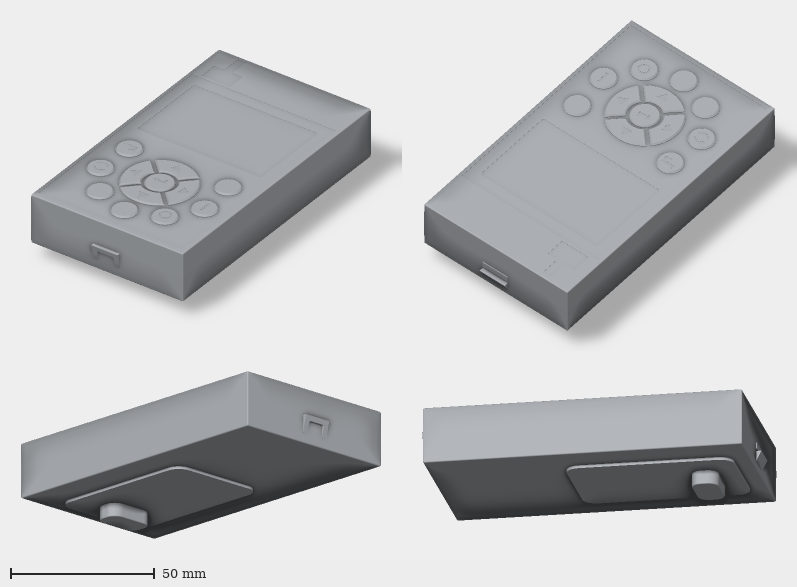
import cadquery as cq
import math

BODY_WIDTH = 65.0
BODY_LENGTH = 113.0
BODY_HEIGHT = 20.0
SEAM_HEIGHT = BODY_HEIGHT / 2
EDGE_RADIUS = 0.5
SIDE_CORNER_RADIUS = 0.3
SHELL_DRAFT = 0.5
FRONT_FACE = -BODY_LENGTH / 2
BACK_FACE = BODY_LENGTH / 2

STEP_DEPTH = 0.1
CORNER_RADIUS = 0.7
PANEL_WIDTH = 61.9
PANEL_FRONT = -54.3
PANEL_BACK = 37.9
PANEL_FLOOR = BODY_HEIGHT - STEP_DEPTH
SCREEN_WIDTH = 52.9
SCREEN_FRONT = -1.2
SCREEN_BACK = 33.0
PORT_X = -21.5
PORT_WIDTH = 12.1
PORT_FRONT = 39.0
PORT_SHOULDER = 46.6
PORT_BACK = 54.7
PORT_STEM_WIDTH = 3.5

KEY_RISE = 0.7
KEY_TOP = BODY_HEIGHT + KEY_RISE
KEY_CHAMFER = 0.6
KEY_RADIUS = 5.0
PAD_Y = -24.7
ENTER_RADIUS = 5.6
PAD_INNER_RADIUS = 6.4
PAD_OUTER_RADIUS = 14.3
PAD_GAP = 1.2
BACK_KEY = (-21.0, -13.3)
HELP_KEY = (21.0, -13.3)
REVERSE_KEY = (-22.2, -29.0)
START_KEY = (22.2, -29.0)
LOCAL_KEY = (-13.8, -41.1)
STOP_KEY = (13.8, -41.1)
JOG_KEY = (0, -45.8)
ROUND_KEYS = [BACK_KEY, HELP_KEY, REVERSE_KEY, START_KEY, LOCAL_KEY, STOP_KEY, JOG_KEY]

ENGRAVING_DEPTH = 0.1
TRIANGLE_BASE = 9.1
TRIANGLE_TIP = 12.7
TRIANGLE_HALF_WIDTH = 2.1
SYMBOL_SHIFT = 0.2
START_BAR = (1.0, 5.0)
STOP_RING = (1.6, 2.3)
REVERSE_RING = (1.7, 2.7)
REVERSE_SLOT = 1.9

CLIP_WIDTH = 11.3
FRONT_CLIP_REACH = 1.5
FRONT_CLIP_HEIGHT = 6.3
FRONT_NOTCH_WIDTH = 7.1
FRONT_CLIP_BRIDGE = 1.9
FRONT_NOTCH_RADIUS = 0.6
BACK_CLIP_REACH = 1.9
BACK_CLIP_TOP = 6.2
BACK_CLIP_BOTTOM = 2.6
BACK_RIB_REACH = 0.3
BACK_RIB_TOP = 9.3
BACK_RIB_BOTTOM = 7.0

PLATE_WIDTH = 39.1
PLATE_FRONT = -8.8
PLATE_BACK = 50.4
PLATE_THICKNESS = 1.0
PLATE_RADIUS = 5.0
PLUG_X = 0.1
PLUG_WIDTH = 18.1
PLUG_FRONT = 33.7
PLUG_BACK = 43.3
PLUG_LENGTH = 4.9
PLUG_RADIUS = 3.8
PLUG_EDGE_RADIUS = 0.3

OVERLAP = 0.2


def block(width, front, back, bottom, top, x=0):
    """Box centred on x, given by its front, back, bottom and top planes."""
    return (
        cq.Workplane("XY", origin=(x, (front + back) / 2, bottom))
        .rect(width, back - front)
        .extrude(top - bottom)
    )


def shell(height):
    """One shell, extruded from the seam up or down."""
    seam = cq.Workplane("XY", origin=(0, 0, SEAM_HEIGHT)).rect(BODY_WIDTH, BODY_LENGTH)
    return seam.extrude(height, taper=SHELL_DRAFT).edges("not #Z").fillet(SIDE_CORNER_RADIUS)


def housing():
    """Upper and lower shell, each tapering slightly away from the seam."""
    upper = shell(SEAM_HEIGHT).faces(">Z").edges().fillet(EDGE_RADIUS)
    lower = shell(-SEAM_HEIGHT).faces("<Z").edges().fillet(EDGE_RADIUS)
    return upper.union(lower)


def top_steps():
    """Material removed for the panel, the screen within it and the port cover."""
    screen_floor = PANEL_FLOOR - STEP_DEPTH
    panel = block(PANEL_WIDTH, PANEL_FRONT, PANEL_BACK, PANEL_FLOOR, KEY_TOP)
    screen = block(SCREEN_WIDTH, SCREEN_FRONT, SCREEN_BACK, screen_floor, KEY_TOP)
    panel = panel.edges("|Z").fillet(CORNER_RADIUS)
    screen = screen.edges("|Z").fillet(CORNER_RADIUS)
    port = block(PORT_WIDTH, PORT_FRONT, PORT_SHOULDER, PANEL_FLOOR, KEY_TOP, PORT_X)
    stem = block(PORT_STEM_WIDTH, PORT_SHOULDER, PORT_BACK, PANEL_FLOOR, KEY_TOP, PORT_X)
    return panel.union(screen).union(port.union(stem))


def key_plane(center):
    return cq.Workplane("XY", origin=(*center, PANEL_FLOOR - OVERLAP))


def round_key(center, radius):
    height = KEY_TOP - PANEL_FLOOR + OVERLAP
    return key_plane(center).circle(radius).extrude(height).faces(">Z").chamfer(KEY_CHAMFER)


def arrow_key(angle):
    """Quarter of the direction pad whose middle points at the given angle."""
    half_gap = PAD_GAP / 2

    def on_arc(radius, side):
        spread = math.pi / 4 - math.asin(half_gap / radius)
        return radius * math.cos(spread), side * radius * math.sin(spread)

    return (
        key_plane((0, 0))
        .moveTo(*on_arc(PAD_INNER_RADIUS, -1))
        .lineTo(*on_arc(PAD_OUTER_RADIUS, -1))
        .threePointArc((PAD_OUTER_RADIUS, 0), on_arc(PAD_OUTER_RADIUS, 1))
        .lineTo(*on_arc(PAD_INNER_RADIUS, 1))
        .threePointArc((PAD_INNER_RADIUS, 0), on_arc(PAD_INNER_RADIUS, -1))
        .close()
        .extrude(KEY_TOP - PANEL_FLOOR + OVERLAP)
        .faces(">Z")
        .chamfer(KEY_CHAMFER)
        .rotate((0, 0, 0), (0, 0, 1), angle)
        .translate((0, PAD_Y, 0))
    )


def symbol_plane(center, shift=0):
    x, y = center
    return cq.Workplane("XY", origin=(x, y + shift, KEY_TOP - ENGRAVING_DEPTH))


def triangle_symbol(angle):
    return (
        symbol_plane((0, 0))
        .polyline([
            (TRIANGLE_TIP, 0),
            (TRIANGLE_BASE, TRIANGLE_HALF_WIDTH),
            (TRIANGLE_BASE, -TRIANGLE_HALF_WIDTH),
        ])
        .close()
        .extrude(ENGRAVING_DEPTH)
        .rotate((0, 0, 0), (0, 0, 1), angle)
        .translate((0, PAD_Y, 0))
    )


def enter_symbol():
    """Arrow to the left with its tail turned up."""
    return (
        symbol_plane((0, PAD_Y))
        .polyline([
            (-2.7, 0.3), (-1.5, 1.6), (-1.5, 0.7), (1.3, 0.7), (1.3, 2.3),
            (2.2, 2.3), (2.2, 0), (-1.5, 0), (-1.5, -0.9),
        ])
        .close()
        .extrude(ENGRAVING_DEPTH)
    )


def back_symbol():
    """Arrow to the left with its tail hooked down and under."""
    return (
        symbol_plane(BACK_KEY)
        .polyline([
            (-3.1, 1.2), (-2.1, 2.3), (-2.1, 1.6), (2.8, 1.6), (2.8, -1.3), (0.2, -1.3),
            (0.2, -0.5), (1.7, -0.5), (1.7, 0.7), (-2.1, 0.7), (-2.1, 0),
        ])
        .close()
        .extrude(ENGRAVING_DEPTH)
    )


def ring_symbol(center, radii):
    inner, outer = radii
    return symbol_plane(center, SYMBOL_SHIFT).circle(outer).circle(inner).extrude(ENGRAVING_DEPTH)


def reverse_symbol():
    """Two facing arcs: a ring split by a horizontal slot."""
    slot = (
        symbol_plane(REVERSE_KEY, SYMBOL_SHIFT)
        .rect(2 * KEY_RADIUS, REVERSE_SLOT)
        .extrude(ENGRAVING_DEPTH)
    )
    return ring_symbol(REVERSE_KEY, REVERSE_RING).cut(slot)


def start_symbol():
    return symbol_plane(START_KEY, SYMBOL_SHIFT).rect(*START_BAR).extrude(ENGRAVING_DEPTH)


def end_clip(profile):
    """Extrude a (y, z) outline across the clip width, centred on the housing."""
    return cq.Workplane("YZ").polyline(profile).close().extrude(CLIP_WIDTH / 2, both=True)


def front_clip():
    """Wedge hanging from the seam, notched into two legs."""
    inside = FRONT_FACE + OVERLAP
    foot = SEAM_HEIGHT - FRONT_CLIP_HEIGHT
    wedge = end_clip([
        (inside, SEAM_HEIGHT),
        (FRONT_FACE - FRONT_CLIP_REACH, SEAM_HEIGHT),
        (FRONT_FACE, foot),
        (inside, foot),
    ])
    notch_top = SEAM_HEIGHT - FRONT_CLIP_BRIDGE
    notch_front = FRONT_FACE - FRONT_CLIP_REACH
    notch = block(FRONT_NOTCH_WIDTH, notch_front, inside, foot, notch_top)
    return wedge.cut(notch.edges("|Y and >Z").fillet(FRONT_NOTCH_RADIUS))


def back_clip():
    """Hook with a flat upper side, and a low rib above it."""
    inside = BACK_FACE - OVERLAP
    rib_tip = BACK_FACE + BACK_RIB_REACH
    rib = block(CLIP_WIDTH, inside, rib_tip, BACK_RIB_BOTTOM, BACK_RIB_TOP)
    hook = end_clip([
        (inside, BACK_CLIP_TOP),
        (BACK_FACE + BACK_CLIP_REACH, BACK_CLIP_TOP),
        (BACK_FACE, BACK_CLIP_BOTTOM),
        (inside, BACK_CLIP_BOTTOM),
    ])
    return rib.union(hook)


def mounting_plate():
    plate = block(PLATE_WIDTH, PLATE_FRONT, PLATE_BACK, -PLATE_THICKNESS, OVERLAP)
    return plate.edges("|Z").fillet(PLATE_RADIUS)


def connector_plug():
    plug = block(PLUG_WIDTH, PLUG_FRONT, PLUG_BACK, -PLATE_THICKNESS - PLUG_LENGTH, 0, PLUG_X)
    plug = plug.edges("|Z").fillet(PLUG_RADIUS)
    return plug.faces("<Z").edges().fillet(PLUG_EDGE_RADIUS)


result = housing().cut(top_steps())

for key_center in ROUND_KEYS:
    result = result.union(round_key(key_center, KEY_RADIUS))
result = result.union(round_key((0, PAD_Y), ENTER_RADIUS))

for direction in (0, 90, 180, 270):
    result = result.union(arrow_key(direction)).cut(triangle_symbol(direction))

result = result.cut(enter_symbol()).cut(back_symbol()).cut(reverse_symbol())
result = result.cut(start_symbol()).cut(ring_symbol(STOP_KEY, STOP_RING))

result = result.union(front_clip()).union(back_clip())
result = result.union(mounting_plate()).union(connector_plug())